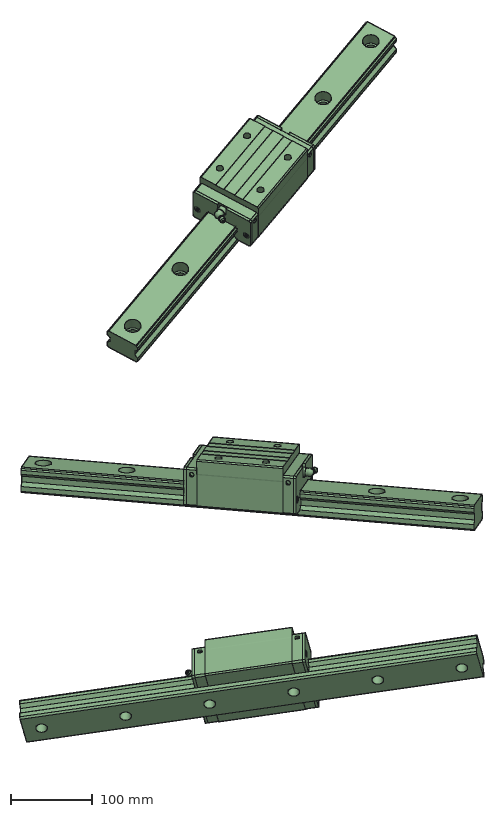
import cadquery as cq
import math

RAIL_LENGTH = 570.0
RAIL_HEIGHT = 33.0
RAIL_HALF_WIDTH = 22.5
RAIL_TOP_HALF_WIDTH = 20.0
RAIL_WAIST_HALF_WIDTH = 18.0
RAIL_BASE_CHAMFER = 2.0
FOOT_TOP_Z = 8.5
WAIST_BOTTOM_Z = 13.0
WAIST_TOP_Z = 20.5
UNDERCUT_BEND_HALF_WIDTH = 20.0
UNDERCUT_BEND_Z = 22.0
HEAD_BOTTOM_Z = 24.5
HEAD_TOP_Z = 29.5
SHOULDER_BEND_HALF_WIDTH = 20.5
SHOULDER_BEND_Z = 31.5
TRACK_SAG = 0.3
BOLT_PITCH = 105.0
BOLT_COUNT = 6
BOLT_HOLE_DIAMETER = 14.0
BOLT_HEAD_DIAMETER = 20.0
BOLT_HEAD_DEPTH = 17.0

CARRIAGE_Y = 4.5
CARRIAGE_BOTTOM_Z = 8.5
CARRIAGE_TOP_Z = 70.0

BLOCK_LENGTH = 108.5
BLOCK_WIDTH = 86.0
BLOCK_LOWER_WIDTH = 85.5
FLANGE_BOTTOM_Z = 52.0
FLANGE_STEP_HEIGHT = 1.5
BLOCK_CHAMFER = 1.5
GROOVE_INNER_X = 8.0
GROOVE_OUTER_X = 20.0
GROOVE_DEPTH = 0.5
MOUNT_SPACING = 60.0
MOUNT_HOLE_DIAMETER = 8.5
MOUNT_HOLE_DEPTH = 17.0
DRILL_POINT_ANGLE = 118.0

CAP_THICKNESS = 13.0
SEAL_THICKNESS = 3.5
CAP_WIDTH = 85.0
CAP_TOP_Z = 58.5
CAP_CHAMFER = 2.0
SIDE_PORT_DIAMETER = 5.5
SIDE_PORT_DEPTH = 3.5
PORT_Z = 50.0
SEAL_SLOT_WIDTH = 12.0
SEAL_SLOT_Z = 49.0
SCREW_X = 36.0
SCREW_Z = 27.0
SCREW_DIAMETER = 8.5
SCREW_HEIGHT = 1.0
SCREW_SOCKET_WIDTH = 3.3
SCREW_SOCKET_DEPTH = 2.0

NIPPLE_COLLAR_DIAMETER = 11.5
NIPPLE_COLLAR_LENGTH = 5.5
NIPPLE_STEM_DIAMETER = 9.5
ELBOW_DIAMETER = 10.0
ELBOW_DISTANCE = 10.0
ARM_ANGLE = 65.0
NECK_DIAMETER = 5.5
NECK_LENGTH = 6.0
HEAD_DIAMETER = 7.5
HEAD_LENGTH = 4.0
HEAD_TIP_DIAMETER = 5.5
HEAD_TIP_LENGTH = 1.5
GREASE_HOLE_DIAMETER = 3.3
GREASE_HOLE_DEPTH = 2.0

BLOCK_END = BLOCK_LENGTH / 2
CAP_END = BLOCK_END + CAP_THICKNESS
SIDE_PORT_Y = (BLOCK_END + CAP_END) / 2
SEAL_END = CAP_END + SEAL_THICKNESS


def along_y(outline, y_start, y_end):
    """Extrude an XZ outline from y_start to y_end."""
    return outline.extrude(y_start - y_end).translate((0, y_start, 0))


def mirror_points(right_side):
    """Close a right-hand half outline with its mirror image across X = 0."""
    return right_side + [(-x, z) for x, z in reversed(right_side)]


def rail_outline():
    """Waisted rail section with hollow ball tracks on its upper shoulders."""
    side = [
        (RAIL_HALF_WIDTH - RAIL_BASE_CHAMFER, 0),
        (RAIL_HALF_WIDTH, RAIL_BASE_CHAMFER),
        (RAIL_HALF_WIDTH, FOOT_TOP_Z),
        (RAIL_WAIST_HALF_WIDTH, WAIST_BOTTOM_Z),
        (RAIL_WAIST_HALF_WIDTH, WAIST_TOP_Z),
        (UNDERCUT_BEND_HALF_WIDTH, UNDERCUT_BEND_Z),
        (RAIL_HALF_WIDTH, HEAD_BOTTOM_Z),
        (RAIL_HALF_WIDTH, HEAD_TOP_Z),
    ]
    left_side = [(-x, z) for x, z in reversed(side)]
    outline = cq.Workplane("XZ").polyline(side)
    outline = outline.sagittaArc((SHOULDER_BEND_HALF_WIDTH, SHOULDER_BEND_Z), -TRACK_SAG)
    outline = outline.lineTo(RAIL_TOP_HALF_WIDTH, RAIL_HEIGHT)
    outline = outline.lineTo(-RAIL_TOP_HALF_WIDTH, RAIL_HEIGHT)
    outline = outline.lineTo(-SHOULDER_BEND_HALF_WIDTH, SHOULDER_BEND_Z)
    outline = outline.sagittaArc(left_side[0], -TRACK_SAG)
    for point in left_side[1:]:
        outline = outline.lineTo(*point)
    return outline.close()


def make_rail_bar():
    """Rail without bolt holes; it also cuts the rail passage through the carriage."""
    return along_y(rail_outline(), -RAIL_LENGTH / 2, RAIL_LENGTH / 2)


def make_rail():
    """Rail with its row of counterbored bolt holes."""
    first_y = -BOLT_PITCH * (BOLT_COUNT - 1) / 2
    places = [(0, first_y + i * BOLT_PITCH) for i in range(BOLT_COUNT)]
    top = cq.Workplane("XY").workplane(offset=RAIL_HEIGHT).pushPoints(places)
    bolt_holes = top.circle(BOLT_HOLE_DIAMETER / 2).extrude(-RAIL_HEIGHT)
    counterbores = top.circle(BOLT_HEAD_DIAMETER / 2).extrude(-BOLT_HEAD_DEPTH)
    return make_rail_bar().cut(bolt_holes).cut(counterbores)


def make_block():
    """Block with two shallow grooves along its top and four mounting holes."""
    upper = BLOCK_WIDTH / 2
    lower = BLOCK_LOWER_WIDTH / 2
    right_side = [
        (lower - BLOCK_CHAMFER, CARRIAGE_BOTTOM_Z),
        (lower, CARRIAGE_BOTTOM_Z + BLOCK_CHAMFER),
        (lower, FLANGE_BOTTOM_Z - FLANGE_STEP_HEIGHT),
        (upper, FLANGE_BOTTOM_Z),
        (upper, CARRIAGE_TOP_Z - BLOCK_CHAMFER),
        (upper - BLOCK_CHAMFER, CARRIAGE_TOP_Z),
        (GROOVE_OUTER_X, CARRIAGE_TOP_Z),
        (GROOVE_OUTER_X, CARRIAGE_TOP_Z - GROOVE_DEPTH),
        (GROOVE_INNER_X, CARRIAGE_TOP_Z - GROOVE_DEPTH),
        (GROOVE_INNER_X, CARRIAGE_TOP_Z),
    ]
    outline = cq.Workplane("XZ").polyline(mirror_points(right_side)).close()
    block = along_y(outline, -BLOCK_END, BLOCK_END)
    return block.cut(make_mount_holes()).translate((0, CARRIAGE_Y, 0)).cut(make_rail_bar())


def make_mount_holes():
    """Four blind holes, each ending in a drill point."""
    radius = MOUNT_HOLE_DIAMETER / 2
    point = radius / math.tan(math.radians(DRILL_POINT_ANGLE / 2))
    floor_z = CARRIAGE_TOP_Z - MOUNT_HOLE_DEPTH
    drill = (
        cq.Workplane("XZ")
        .polyline([
            (0, CARRIAGE_TOP_Z),
            (radius, CARRIAGE_TOP_Z),
            (radius, floor_z),
            (0, floor_z - point),
        ])
        .close()
        .revolve(360, (0, 0, 0), (0, 1, 0))
        .val()
    )
    places = cq.Workplane("XY").rect(MOUNT_SPACING, MOUNT_SPACING, forConstruction=True).vertices()
    return places.eachpoint(lambda place: drill.moved(place))


def cap_blank(y_start, y_end):
    """Chamfered plate between two distances from the carriage centre."""
    blank = cq.Workplane("XY").box(
        CAP_WIDTH, y_end - y_start, CAP_TOP_Z - CARRIAGE_BOTTOM_Z, centered=(True, False, False)
    )
    return blank.edges("|Y").chamfer(CAP_CHAMFER).translate((0, y_start, CARRIAGE_BOTTOM_Z))


def on_carriage(body, end):
    """Put a body made for the +Y end at the chosen end (+1 or -1) of the carriage."""
    if end < 0:
        body = body.mirror("XZ")
    return body.translate((0, CARRIAGE_Y, 0))


def make_cap(end):
    """End cap with a blind grease port in each side."""
    ports = [
        cq.Workplane("YZ", origin=(side * CAP_WIDTH / 2, SIDE_PORT_Y, PORT_Z))
        .circle(SIDE_PORT_DIAMETER / 2)
        .extrude(-side * SIDE_PORT_DEPTH)
        for side in (-1, 1)
    ]
    cap = cap_blank(BLOCK_END, CAP_END)
    for port in ports:
        cap = cap.cut(port)
    return on_carriage(cap, end).cut(make_rail_bar())


def make_screw_shapes(x):
    """Domed screw head on the +Y seal plate, and the hexagonal socket to cut into it."""
    radius = SCREW_DIAMETER / 2
    dome_radius = (radius**2 + SCREW_HEIGHT**2) / (2 * SCREW_HEIGHT)
    head = (
        cq.Workplane("XY")
        .moveTo(0, SEAL_END)
        .lineTo(radius, SEAL_END)
        .radiusArc((0, SEAL_END + SCREW_HEIGHT), -dome_radius)
        .close()
        .revolve(360, (0, 0, 0), (0, 1, 0))
    )
    socket = (
        cq.Workplane("XZ", origin=(0, SEAL_END + SCREW_HEIGHT, 0))
        .polygon(6, SCREW_SOCKET_WIDTH, circumscribed=True)
        .extrude(SCREW_SOCKET_DEPTH)
    )
    return head.translate((x, 0, SCREW_Z)), socket.translate((x, 0, SCREW_Z))


def make_seal(end):
    """Seal plate with a U-slot open at the top and two screw heads."""
    slot_round = (
        cq.Workplane("XZ", origin=(0, SEAL_END, SEAL_SLOT_Z))
        .circle(SEAL_SLOT_WIDTH / 2)
        .extrude(SEAL_THICKNESS)
    )
    slot_opening = cq.Workplane("XY").box(
        SEAL_SLOT_WIDTH, SEAL_THICKNESS, CAP_TOP_Z - SEAL_SLOT_Z, centered=(True, False, False)
    )
    seal = cap_blank(CAP_END, SEAL_END).cut(slot_round)
    seal = seal.cut(slot_opening.translate((0, CAP_END, SEAL_SLOT_Z)))
    for x in (-SCREW_X, SCREW_X):
        head, socket = make_screw_shapes(x)
        seal = seal.union(head).cut(socket)
    return on_carriage(seal, end).cut(make_rail_bar())


def turned(profile):
    """Revolve (radius, height) points about the Z axis."""
    return cq.Workplane("XZ").polyline(profile).close().revolve(360, (0, 0, 0), (0, 1, 0))


def make_nipple():
    """Elbow grease nipple on the -Y cap, its arm leaning toward +X."""
    stem = turned([
        (0, 0),
        (NIPPLE_COLLAR_DIAMETER / 2, 0),
        (NIPPLE_COLLAR_DIAMETER / 2, NIPPLE_COLLAR_LENGTH),
        (NIPPLE_STEM_DIAMETER / 2, NIPPLE_COLLAR_LENGTH),
        (NIPPLE_STEM_DIAMETER / 2, ELBOW_DISTANCE),
        (0, ELBOW_DISTANCE),
    ])
    elbow = cq.Workplane("XY").sphere(ELBOW_DIAMETER / 2)
    head_end = NECK_LENGTH + HEAD_LENGTH
    tip_end = head_end + HEAD_TIP_LENGTH
    arm = turned([
        (0, 0),
        (NECK_DIAMETER / 2, 0),
        (NECK_DIAMETER / 2, NECK_LENGTH),
        (HEAD_DIAMETER / 2, NECK_LENGTH),
        (HEAD_DIAMETER / 2, head_end),
        (HEAD_TIP_DIAMETER / 2, tip_end),
        (0, tip_end),
    ])
    grease_hole = (
        cq.Workplane("XY", origin=(0, 0, tip_end))
        .circle(GREASE_HOLE_DIAMETER / 2)
        .extrude(-GREASE_HOLE_DEPTH)
    )
    arm = arm.cut(grease_hole).rotate((0, 0, 0), (0, 1, 0), ARM_ANGLE)
    nipple = stem.union(elbow.union(arm).translate((0, 0, ELBOW_DISTANCE)))
    return nipple.rotate((0, 0, 0), (1, 0, 0), 90).translate((0, CARRIAGE_Y - CAP_END, PORT_Z))


rail = make_rail()
block = make_block()
caps = [make_cap(end) for end in (-1, 1)]
seals = [make_seal(end) for end in (-1, 1)]
nipple = make_nipple()

result = cq.Compound.makeCompound(
    [rail.val(), block.val(), *[cap.val() for cap in caps], *[seal.val() for seal in seals], nipple.val()]
)